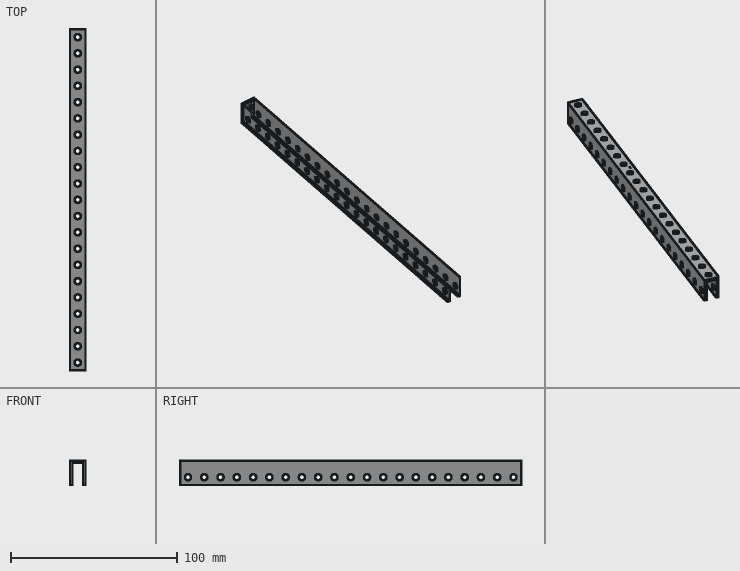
import cadquery as cq

length = 205.0
width = 9.5
height = 14.8

wall = 1.6

hole_count = 21
hole_radius = 1.8
end_margin = width / 2
hole_pitch = (length - 2 * end_margin) / (hole_count - 1)
leg_hole_z = end_margin


def box_on_floor(size_x, size_y, size_z):
    """Box centred on X and Y with its underside at Z = 0."""
    return cq.Workplane("XY").box(size_x, size_y, size_z, centered=(True, True, False))


def channel():
    """Plain U-channel: solid bar less the slot between the legs."""
    slot = box_on_floor(width - 2 * wall, length, height - wall)
    return box_on_floor(width, length, height).cut(slot)


def web_holes():
    """Row of vertical drills on the channel's centreline."""
    return (
        cq.Workplane("XY")
        .rarray(2, hole_pitch, 1, hole_count)
        .circle(hole_radius)
        .extrude(height)
    )


def leg_holes():
    """Row of drills along X that pass through both legs."""
    return (
        cq.Workplane("YZ", origin=(-width / 2, 0, leg_hole_z))
        .rarray(hole_pitch, 2, hole_count, 1)
        .circle(hole_radius)
        .extrude(width)
    )


result = channel().cut(web_holes()).cut(leg_holes())